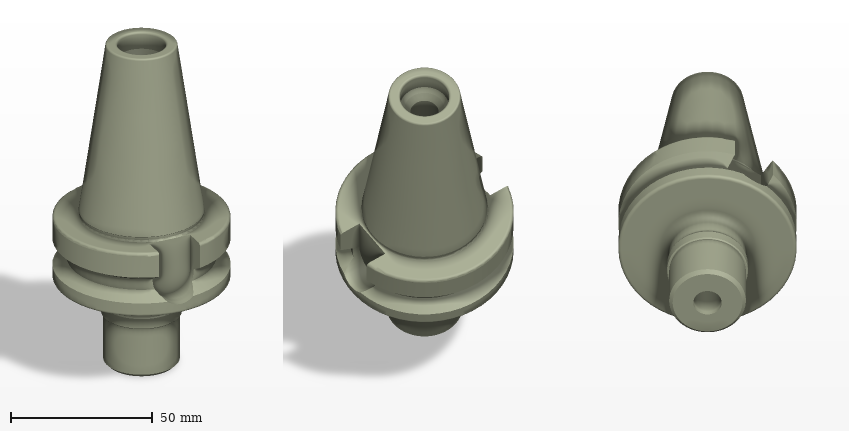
import cadquery as cq
import math

total_height = 125.4
gauge_z = 60.0
flange_top_z = 58.0
flange_bottom_z = 33.0
collar_top_z = 24.0
collar_bottom_z = 19.4
snap_groove_width = 1.1
snap_flank_height = 0.5

gauge_radius = 22.2
flange_radius = 31.5
v_groove_radius = 26.5
neck_radius = 13.8
collar_radius = 14.3
shank_radius = 13.5
snap_groove_radius = 12.2
relief_radius = 22.0

taper_ratio = 7 / 24
taper_small_radius = gauge_radius - (total_height - gauge_z) * taper_ratio / 2

v_flank_angle = 30
v_floor_top_z = 45.6
v_floor_bottom_z = 41.3
v_flank_height = (flange_radius - v_groove_radius) * math.tan(math.radians(v_flank_angle))

flange_edge_radius = 1.1
taper_tip_radius = 0.8
shank_chamfer = 1.3
neck_fillet = 3.0
relief_fillet = 0.6
collar_chamfer = 0.4

slot_width = 16.0
slot_floor_x = 22.5
slot_bottom_z = 36.6

through_radius = 5.0
funnel_radius = 7.0
pilot_radius = 8.7
mouth_round = 0.9
pilot_depth = 6.5
foot_height = 1.3


def arc_corner(profile, centre_r, centre_z, radius, start, end):
    """Add a round corner about (centre_r, centre_z), from start to end in degrees."""
    def on_arc(angle):
        turn = math.radians(angle)
        return (centre_r + radius * math.cos(turn), centre_z + radius * math.sin(turn))
    return profile.lineTo(*on_arc(start)).threePointArc(on_arc((start + end) / 2), on_arc(end))


def make_body():
    """Revolve the outside: shank, collar, neck, flange and taper."""
    p = cq.Workplane("XZ").moveTo(0, 0)
    p = p.lineTo(shank_radius - shank_chamfer, 0).lineTo(shank_radius, shank_chamfer)
    p = p.lineTo(shank_radius, collar_bottom_z)
    p = p.lineTo(collar_radius - collar_chamfer, collar_bottom_z)
    p = p.lineTo(collar_radius, collar_bottom_z + collar_chamfer)
    p = p.lineTo(collar_radius, collar_top_z - collar_chamfer)
    p = p.lineTo(collar_radius - collar_chamfer, collar_top_z)
    p = p.lineTo(snap_groove_radius, collar_top_z)
    neck_bottom_z = collar_top_z + snap_groove_width
    p = p.lineTo(snap_groove_radius, neck_bottom_z - snap_flank_height)
    p = p.lineTo(neck_radius, neck_bottom_z)
    p = arc_corner(p, neck_radius + neck_fillet, flange_bottom_z - neck_fillet, neck_fillet, 180, 90)
    edge_r = flange_radius - flange_edge_radius
    p = arc_corner(p, edge_r, flange_bottom_z + flange_edge_radius, flange_edge_radius, -90, 0)
    p = p.lineTo(flange_radius, v_floor_bottom_z - v_flank_height)
    p = p.lineTo(v_groove_radius, v_floor_bottom_z).lineTo(v_groove_radius, v_floor_top_z)
    p = p.lineTo(flange_radius, v_floor_top_z + v_flank_height)
    p = arc_corner(p, edge_r, flange_top_z - flange_edge_radius, flange_edge_radius, 0, 90)
    relief_centre_r = relief_radius + relief_fillet
    p = arc_corner(p, relief_centre_r, flange_top_z + relief_fillet, relief_fillet, 270, 180)
    p = p.lineTo(relief_radius, gauge_z - (gauge_radius - relief_radius))
    p = p.lineTo(gauge_radius, gauge_z).lineTo(taper_small_radius, total_height).lineTo(0, total_height)
    body = p.close().revolve(360, (0, 0, 0), (0, 1, 0))
    return body.faces(">Z").edges().fillet(taper_tip_radius)


def make_bore():
    """Revolve the stepped axial hole: rounded mouth, pilot with a conical foot, funnel and through hole."""
    pilot_z = total_height - pilot_depth
    foot_z = pilot_z - foot_height
    funnel_bottom_z = foot_z - (funnel_radius - through_radius)
    p = cq.Workplane("XZ").moveTo(0, 0).lineTo(through_radius, 0)
    p = p.lineTo(through_radius, funnel_bottom_z)
    p = p.lineTo(funnel_radius, foot_z).lineTo(pilot_radius, pilot_z)
    mouth_centre_r = pilot_radius + mouth_round
    p = arc_corner(p, mouth_centre_r, total_height - mouth_round, mouth_round, 180, 90)
    p = p.lineTo(0, total_height)
    return p.close().revolve(360, (0, 0, 0), (0, 1, 0))


def make_slot(side):
    """Round-bottomed drive slot, open at the top; side is -1 or +1 along X."""
    round_z = slot_bottom_z + slot_width / 2
    return (
        cq.Workplane("YZ", origin=(side * slot_floor_x, 0, 0))
        .moveTo(-slot_width / 2, gauge_z).lineTo(-slot_width / 2, round_z)
        .threePointArc((0, slot_bottom_z), (slot_width / 2, round_z))
        .lineTo(slot_width / 2, gauge_z).close().extrude(side * flange_radius)
    )


result = make_body().cut(make_bore())
for side in (-1, 1):
    result = result.cut(make_slot(side))